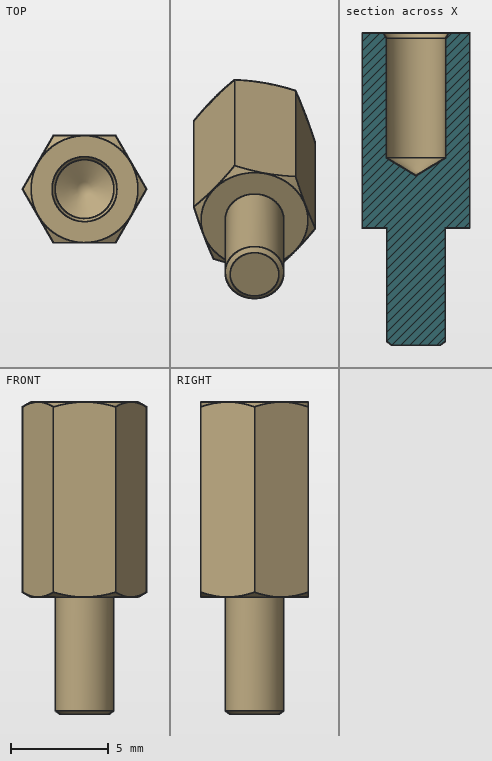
import cadquery as cq
import math

total_height = 16.0
body_height = 10.0
stud_height = total_height - body_height
thread_diameter = 3.0

across_flats = 5.5
across_corners = across_flats / math.cos(math.radians(30))
end_face_diameter = 5.47
corner_chamfer_angle = 30.0

tip_chamfer_height = 0.2
tip_chamfer_width = 0.25
hole_depth = 6.4
drill_point_angle = 118.0
mouth_diameter = 3.33
mouth_chamfer_angle = 60.0


def make_body():
    """Hexagonal prism whose corners are turned down by a cone at both ends."""
    prism = cq.Workplane("XY").polygon(6, across_corners).extrude(body_height)
    face_radius = end_face_diameter / 2
    outer_radius = across_corners / 2
    corner_drop = (outer_radius - face_radius) * math.tan(math.radians(corner_chamfer_angle))
    turned_envelope = (
        cq.Workplane("XZ")
        .moveTo(0, 0)
        .lineTo(face_radius, 0)
        .lineTo(outer_radius, corner_drop)
        .lineTo(outer_radius, body_height - corner_drop)
        .lineTo(face_radius, body_height)
        .lineTo(0, body_height)
        .close()
        .revolve(360, (0, 0, 0), (0, 1, 0))
    )
    return prism.intersect(turned_envelope)


def make_stud():
    """Round stud below the body, chamfered at its free end."""
    stud = cq.Workplane("XY").circle(thread_diameter / 2).extrude(-stud_height)
    return stud.faces("<Z").edges().chamfer(tip_chamfer_height, tip_chamfer_width)


def make_hole():
    """Blind hole with a countersunk mouth and a conical drill point."""
    hole_radius = thread_diameter / 2
    mouth_radius = mouth_diameter / 2
    mouth_depth = (mouth_radius - hole_radius) * math.tan(math.radians(mouth_chamfer_angle))
    point_depth = hole_radius / math.tan(math.radians(drill_point_angle / 2))
    return (
        cq.Workplane("XZ")
        .moveTo(0, body_height)
        .lineTo(mouth_radius, body_height)
        .lineTo(hole_radius, body_height - mouth_depth)
        .lineTo(hole_radius, body_height - hole_depth)
        .lineTo(0, body_height - hole_depth - point_depth)
        .close()
        .revolve(360, (0, 0, 0), (0, 1, 0))
    )


result = make_body().union(make_stud()).cut(make_hole())
result = result.translate((0, 0, stud_height - total_height / 2))